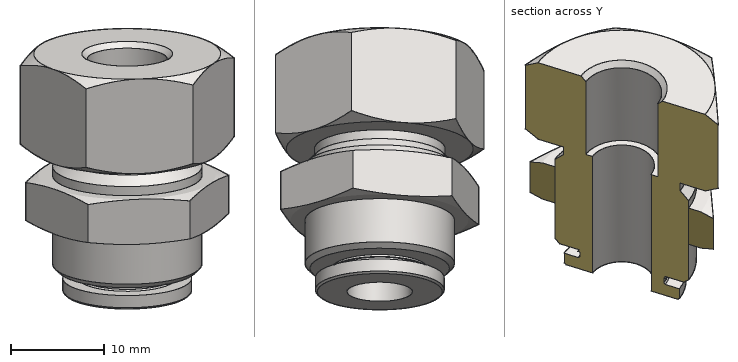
import cadquery as cq
import math

TOTAL_HEIGHT = 26.5
FLANGE_TOP = 1.56
LIP_BOTTOM = 2.33
BARREL_BOTTOM = 2.6
CONE_BOTTOM = 14.0
HEX_BOTTOM = 15.98

FLANGE_DIAMETER = 13.8
SLEEVE_DIAMETER = 10.1
LIP_DIAMETER = 10.6
BARREL_DIAMETER = 16.0
BARREL_END_DIAMETER = 14.92
NECK_DIAMETER = 14.0

FLANGE_BEVEL = 0.2
SLEEVE_FLARE = 0.15
LIP_TAPER = 0.15

SOCKET_DIAMETER = 8.55
SOCKET_MOUTH_DIAMETER = 9.73
PASSAGE_DIAMETER = 7.0
SOCKET_DEPTH = TOTAL_HEIGHT - HEX_BOTTOM

HEX_FLATS = 20.0
HEX_BEVEL_ANGLE = 30.0
NUT_FLATS = 19.0
NUT_BEVEL_ANGLE = 15.0
NUT_BOTTOM = 7.98
NUT_HEIGHT = 5.0


def revolve_profile(points):
    """Revolve a closed (radius, height) outline around the Z axis."""
    return cq.Workplane("XZ").polyline(points).close().revolve(360, (0, 0), (0, 1))


def bevelled_hexagon(flats, bottom, height, bevel_angle):
    """Hexagonal prism with corners along X, bevelled conically at both ends."""
    corner_diameter = flats / math.cos(math.radians(30))
    flat_radius = flats / 2
    corner_radius = corner_diameter / 2
    bevel_drop = (corner_radius - flat_radius) * math.tan(math.radians(bevel_angle))
    top = bottom + height

    prism = cq.Workplane("XY").workplane(offset=bottom).polygon(6, corner_diameter).extrude(height)
    envelope = revolve_profile([
        (0, bottom),
        (flat_radius, bottom),
        (corner_radius, bottom + bevel_drop),
        (corner_radius, top - bevel_drop),
        (flat_radius, top),
        (0, top),
    ])
    return prism.intersect(envelope)


def turned_shank():
    """Flange, sleeve, lip, barrel and neck below the housing hexagon."""
    flange_radius = FLANGE_DIAMETER / 2
    sleeve_radius = SLEEVE_DIAMETER / 2
    lip_radius = LIP_DIAMETER / 2
    barrel_radius = BARREL_DIAMETER / 2
    barrel_end_radius = BARREL_END_DIAMETER / 2
    neck_radius = NECK_DIAMETER / 2
    barrel_bevel = barrel_radius - barrel_end_radius
    cone_height = barrel_radius - neck_radius

    return revolve_profile([
        (0, 0),
        (flange_radius - FLANGE_BEVEL, 0),
        (flange_radius, FLANGE_BEVEL),
        (flange_radius, FLANGE_TOP),
        (sleeve_radius + SLEEVE_FLARE, FLANGE_TOP),
        (sleeve_radius, FLANGE_TOP + SLEEVE_FLARE),
        (sleeve_radius, LIP_BOTTOM),
        (lip_radius, LIP_BOTTOM),
        (lip_radius - LIP_TAPER, BARREL_BOTTOM),
        (barrel_end_radius, BARREL_BOTTOM),
        (barrel_radius, BARREL_BOTTOM + barrel_bevel),
        (barrel_radius, CONE_BOTTOM),
        (neck_radius, CONE_BOTTOM + cone_height),
        (neck_radius, HEX_BOTTOM),
        (0, HEX_BOTTOM),
    ])


def stepped_bore():
    """Through passage, wider socket and the 45 degree mouth of the socket."""
    passage_radius = PASSAGE_DIAMETER / 2
    socket_radius = SOCKET_DIAMETER / 2
    mouth_radius = SOCKET_MOUTH_DIAMETER / 2
    socket_bottom = TOTAL_HEIGHT - SOCKET_DEPTH
    mouth_depth = mouth_radius - socket_radius

    return revolve_profile([
        (0, 0),
        (passage_radius, 0),
        (passage_radius, socket_bottom),
        (socket_radius, socket_bottom),
        (socket_radius, TOTAL_HEIGHT - mouth_depth),
        (mouth_radius, TOTAL_HEIGHT),
        (0, TOTAL_HEIGHT),
    ])


def make_housing():
    """Hexagon-headed fitting with a turned shank and a stepped bore."""
    head = bevelled_hexagon(HEX_FLATS, HEX_BOTTOM, TOTAL_HEIGHT - HEX_BOTTOM, HEX_BEVEL_ANGLE)
    return turned_shank().union(head).cut(stepped_bore())


def make_nut():
    """Hexagon nut whose bore fits the housing barrel."""
    blank = bevelled_hexagon(NUT_FLATS, NUT_BOTTOM, NUT_HEIGHT, NUT_BEVEL_ANGLE)
    barrel_hole = (
        cq.Workplane("XY")
        .workplane(offset=NUT_BOTTOM)
        .circle(BARREL_DIAMETER / 2)
        .extrude(NUT_HEIGHT)
    )
    return blank.cut(barrel_hole)


housing = make_housing()
nut = make_nut()

result = cq.Compound.makeCompound([housing.val(), nut.val()])